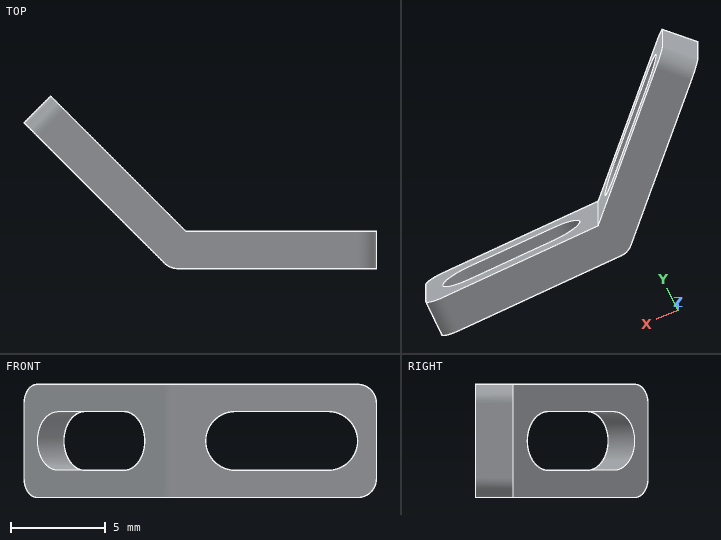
import cadquery as cq
import math

overall_length = 18.63
height = 6.0
thickness = 2.0
bend_angle = 45.0
bend_radius = 1.0
corner_radius = 1.0
slot_length = 8.01
slot_width = 3.1
slot_end_gap = 1.0

bend = math.radians(bend_angle)
leg_length = overall_length / (1 + math.cos(bend))
inner_setback = thickness * math.tan(bend / 2)
slot_center = leg_length - slot_end_gap - slot_length / 2


def make_leg():
    """Leg along +X, mitred at the bend, with rounded end corners and a slot."""
    leg = (
        cq.Workplane("XY")
        .polyline([(0, 0), (leg_length, 0), (leg_length, thickness), (inner_setback, thickness)])
        .close()
        .extrude(height / 2, both=True)
        .edges("|Y and >X")
        .fillet(corner_radius)
    )
    slot = (
        cq.Workplane("XZ")
        .center(slot_center, 0)
        .slot2D(slot_length, slot_width)
        .extrude(-thickness)
    )
    return leg.cut(slot)


straight_leg = make_leg()
angled_leg = straight_leg.mirror("YZ").rotate((0, 0, 0), (0, 0, 1), -bend_angle)
bracket = straight_leg.union(angled_leg)

result = bracket.edges(cq.selectors.NearestToPointSelector((0, 0, 0))).fillet(bend_radius)